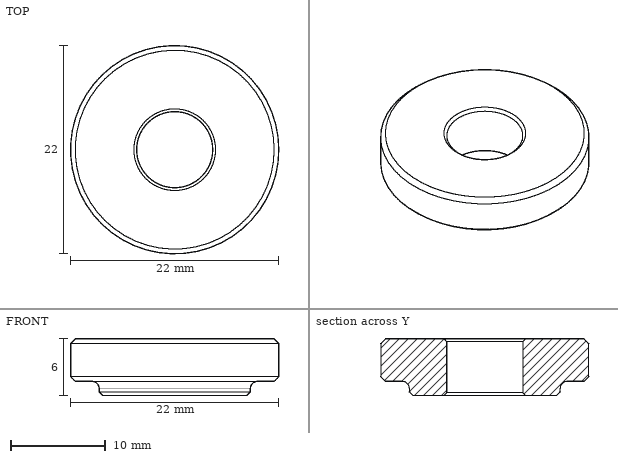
import cadquery as cq

flange_diameter = 22.0
flange_thickness = 4.5
flange_chamfer = 0.5

total_height = 6.0
spigot_diameter = 16.0
spigot_chamfer = 0.4
root_fillet = 0.75

bore_diameter = 8.0
bore_chamfer = 0.3

flange_radius = flange_diameter / 2
spigot_radius = spigot_diameter / 2
bore_radius = bore_diameter / 2
flange_underside = total_height - flange_thickness

section = (
    cq.Workplane("XZ")
    .moveTo(bore_radius + bore_chamfer, 0)
    .lineTo(spigot_radius - spigot_chamfer, 0)
    .lineTo(spigot_radius, spigot_chamfer)
    .lineTo(spigot_radius, flange_underside - root_fillet)
    .tangentArcPoint((root_fillet, root_fillet))
    .lineTo(flange_radius - flange_chamfer, flange_underside)
    .lineTo(flange_radius, flange_underside + flange_chamfer)
    .lineTo(flange_radius, total_height - flange_chamfer)
    .lineTo(flange_radius - flange_chamfer, total_height)
    .lineTo(bore_radius + bore_chamfer, total_height)
    .lineTo(bore_radius, total_height - bore_chamfer)
    .lineTo(bore_radius, bore_chamfer)
    .close()
)

result = section.revolve(360, (0, 0, 0), (0, 1, 0))